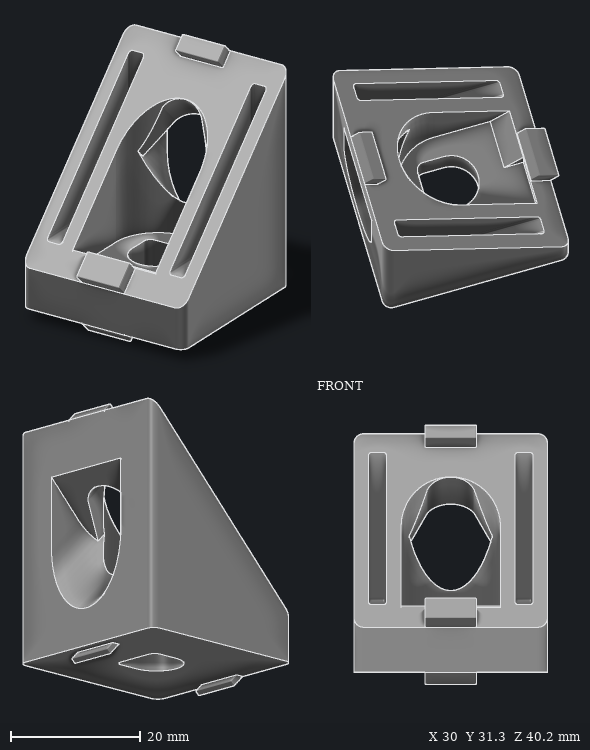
import cadquery as cq
import math

SIDE = 30.0
FRONT_HEIGHT = 7.0
BACK_HEIGHT = FRONT_HEIGHT + SIDE
CORNER_RADIUS = 1.5
HALF = SIDE / 2
SLOPE_ANGLE = 45.0
SLOPE_LENGTH = SIDE / math.cos(math.radians(SLOPE_ANGLE))

POCKET_RADIUS = 7.7
POCKET_CENTER_Y = 0.6
POCKET_FRONT_Y = -11.7
POCKET_FLOOR_Z = 7.0

FLOOR_HOLE_RADIUS = 4.3
FLOOR_HOLE_CENTER_Y = -0.1
FLOOR_HOLE_BACK_Y = 4.45
FLOOR_HOLE_CORNER_RADIUS = 1.2

WEDGE_SIZE = 3.1

SLOPE_CENTER = 7.0
SEAT_DEPTH = 5.95

SLOPE_HOLE_TOP = 11.7
FLARE_TOP_HALF_WIDTH = 3.6
FLARE_TOP = 9.75
FLARE_BOTTOM = 2.8

SLOT_WIDTH = 2.8
SLOT_CENTER_X = 11.35
SLOT_FLOOR_Z = 10.5
SLOT_BACK_Y = 12.1
SLOT_SIDE_RADIUS = 0.5
SLOT_CORNER_RADIUS = 1.1

LUG_WIDTH = 8.0
LUG_EDGE_RADIUS = 0.2
SLOPE_LUG_HEIGHT = 2.0
UPPER_LUG_LENGTH = 3.0
LOWER_LUG_LENGTH = 4.5
BASE_LUG_THICKNESS = 1.0
BASE_LUG_LENGTH = 2.75
BASE_LUG_FRONT_EDGES_Y = (-HALF, 11.7)

OVERCUT = 1.0


def slope_z(y):
    """Height of the sloped face at a given Y."""
    return BACK_HEIGHT - HALF + y


def plane_below_slope(depth):
    """Plane parallel to the slope; local Y runs up the slope, local Z points out of it."""
    slope = cq.Plane(origin=(0, 0, slope_z(0)), xDir=(1, 0, 0), normal=(0, -1, 1))
    return cq.Workplane(slope).workplane(offset=-depth)


def side_profile(points):
    """Closed outline drawn in the YZ plane; extruding it runs along +X."""
    return cq.Workplane("YZ").polyline(points).close()


def make_body():
    outline = [(-HALF, 0), (HALF, 0), (HALF, BACK_HEIGHT), (-HALF, FRONT_HEIGHT)]
    body = side_profile(outline).extrude(HALF, both=True)
    return body.edges("|Z").fillet(CORNER_RADIUS)


def make_pocket():
    return (
        cq.Workplane("XY", origin=(0, 0, POCKET_FLOOR_Z))
        .moveTo(-POCKET_RADIUS, POCKET_FRONT_Y)
        .lineTo(POCKET_RADIUS, POCKET_FRONT_Y)
        .lineTo(POCKET_RADIUS, POCKET_CENTER_Y)
        .threePointArc((0, POCKET_CENTER_Y + POCKET_RADIUS), (-POCKET_RADIUS, POCKET_CENTER_Y))
        .close()
        .extrude(BACK_HEIGHT)
    )


def make_wedge():
    """Triangular prism on the pocket floor against its front wall."""
    outline = [
        (POCKET_FRONT_Y, POCKET_FLOOR_Z),
        (POCKET_FRONT_Y + WEDGE_SIZE, POCKET_FLOOR_Z),
        (POCKET_FRONT_Y, POCKET_FLOOR_Z + WEDGE_SIZE),
    ]
    return side_profile(outline).extrude(POCKET_RADIUS)


def make_floor_hole():
    front_y = FLOOR_HOLE_CENTER_Y - FLOOR_HOLE_RADIUS
    return (
        cq.Workplane("XY", origin=(0, 0, -OVERCUT))
        .moveTo(-FLOOR_HOLE_RADIUS, FLOOR_HOLE_CENTER_Y)
        .threePointArc((0, front_y), (FLOOR_HOLE_RADIUS, FLOOR_HOLE_CENTER_Y))
        .lineTo(FLOOR_HOLE_RADIUS, FLOOR_HOLE_BACK_Y)
        .lineTo(-FLOOR_HOLE_RADIUS, FLOOR_HOLE_BACK_Y)
        .close()
        .extrude(POCKET_FLOOR_Z + 2 * OVERCUT)
        .edges("|Z and >Y")
        .fillet(FLOOR_HOLE_CORNER_RADIUS)
    )


def make_tunnel():
    """U-shaped tunnel from the seat down to the back face, open towards the top of the slope."""
    return (
        plane_below_slope(SEAT_DEPTH)
        .moveTo(-POCKET_RADIUS, SLOPE_CENTER)
        .threePointArc((0, SLOPE_CENTER - POCKET_RADIUS), (POCKET_RADIUS, SLOPE_CENTER))
        .lineTo(POCKET_RADIUS, SLOPE_LENGTH)
        .lineTo(-POCKET_RADIUS, SLOPE_LENGTH)
        .close()
        .extrude(-SLOPE_LENGTH)
    )


def make_slope_hole():
    """Hole from the slope to the seat; its flared sides run onto the round wall of the tunnel."""
    flare_half_width = math.sqrt(POCKET_RADIUS**2 - (SLOPE_CENTER - FLARE_BOTTOM) ** 2)
    return (
        plane_below_slope(-OVERCUT)
        .moveTo(-FLARE_TOP_HALF_WIDTH, FLARE_TOP)
        .threePointArc((0, SLOPE_HOLE_TOP), (FLARE_TOP_HALF_WIDTH, FLARE_TOP))
        .lineTo(flare_half_width, FLARE_BOTTOM)
        .threePointArc((0, SLOPE_CENTER - POCKET_RADIUS), (-flare_half_width, FLARE_BOTTOM))
        .close()
        .extrude(-(SEAT_DEPTH + OVERCUT))
    )


def make_slot(center_x):
    """Slot with an upright back wall and a level floor, rounded where they meet and at the sides."""
    start_y = SLOT_FLOOR_Z - slope_z(0)
    block = (
        cq.Workplane("XY", origin=(center_x, start_y, SLOT_FLOOR_Z))
        .box(SLOT_WIDTH, SLOT_BACK_Y - start_y, BACK_HEIGHT, centered=(True, False, False))
        .edges("<Z and >Y")
        .fillet(SLOT_CORNER_RADIUS)
    )
    return block.edges("(<X or >X) and (not <Y) and (not >Z)").fillet(SLOT_SIDE_RADIUS)


def make_lug(y, z, length, bottom, top, free_end):
    """Lug running up the slope from (y, z), between two heights measured square to the slope."""
    lug = (
        cq.Workplane("XY", origin=(0, 0, bottom))
        .box(LUG_WIDTH, length, top - bottom, centered=(True, False, False))
        .edges("|Z or " + free_end)
        .fillet(LUG_EDGE_RADIUS)
    )
    return lug.rotate((0, 0, 0), (1, 0, 0), SLOPE_ANGLE).translate((0, y, z))


def make_slope_lugs():
    upper_y = HALF - UPPER_LUG_LENGTH * math.cos(math.radians(SLOPE_ANGLE))
    upper = make_lug(upper_y, slope_z(upper_y), UPPER_LUG_LENGTH, 0, SLOPE_LUG_HEIGHT, ">Z")
    lower = make_lug(-HALF, FRONT_HEIGHT, LOWER_LUG_LENGTH, 0, SLOPE_LUG_HEIGHT, ">Z")
    return upper.union(lower)


def make_base_lugs():
    lugs = cq.Workplane("XY")
    for edge_y in BASE_LUG_FRONT_EDGES_Y:
        lug = make_lug(edge_y, 0, BASE_LUG_THICKNESS, -BASE_LUG_LENGTH, 0, "<Z")
        lugs = lugs.union(lug)
    return lugs


result = make_body()
slope_opening = make_tunnel().union(make_slope_hole())
for opening in (make_pocket(), slope_opening, make_floor_hole()):
    result = result.cut(opening)
for slot_x in (-SLOT_CENTER_X, SLOT_CENTER_X):
    result = result.cut(make_slot(slot_x))
for addition in (make_wedge(), make_slope_lugs(), make_base_lugs()):
    result = result.union(addition)